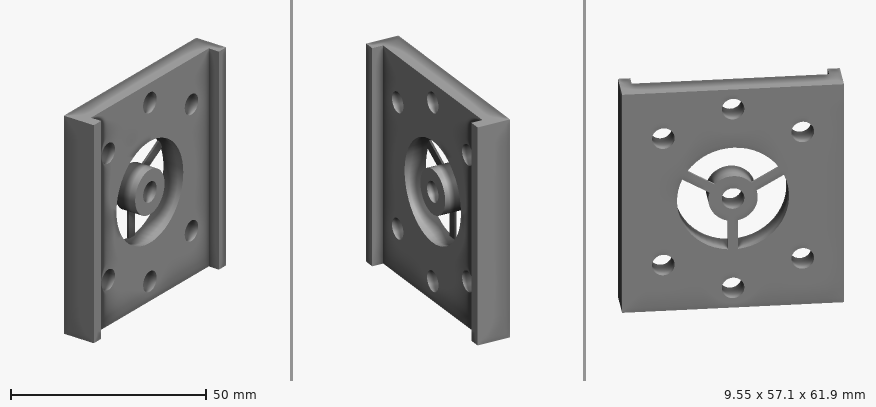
import cadquery as cq

total_depth = 9.55
width = 57.15
height = 61.9
plate_thickness = 6.3
rail_width = 3.15

window_diameter = 28.85
hub_diameter = 12.7
hole_diameter = 5.8
spoke_width = 2.6
spoke_thickness = 0.6
spoke_count = 3

hole_circle_radius = 25.4
hole_angles = (45, 90, 135, 225, 270, 315)

front_x = -total_depth / 2


def front_plane():
    """Sketch plane on the front face: local x is +Y, local y is +Z, normal is +X."""
    return cq.Workplane("YZ", origin=(front_x, 0, 0))


def make_channel():
    """Plate with a rail along each vertical edge of its back."""
    block = front_plane().rect(width, height).extrude(total_depth)
    recess = (
        front_plane()
        .workplane(offset=plate_thickness)
        .rect(width - 2 * rail_width, height)
        .extrude(total_depth - plate_thickness)
    )
    return block.cut(recess)


def make_spider():
    """Full-depth hub and thin front spokes, one pointing down; spoke ends lie inside the plate."""
    spider = front_plane().circle(hub_diameter / 2).extrude(plate_thickness)
    spoke_length = window_diameter / 2 + spoke_width / 2
    spoke = (
        front_plane()
        .center(0, -spoke_length / 2)
        .rect(spoke_width, spoke_length)
        .extrude(spoke_thickness)
    )
    for index in range(spoke_count):
        angle = index * 360 / spoke_count
        spider = spider.union(spoke.rotate((0, 0, 0), (1, 0, 0), angle))
    return spider


def make_holes():
    """Hub bore and mounting holes, all through the plate."""
    holes = front_plane().circle(hole_diameter / 2).extrude(plate_thickness)
    for angle in hole_angles:
        hole = (
            front_plane()
            .transformed(rotate=(0, 0, angle))
            .center(hole_circle_radius, 0)
            .circle(hole_diameter / 2)
            .extrude(plate_thickness)
        )
        holes = holes.union(hole)
    return holes


window = front_plane().circle(window_diameter / 2).extrude(plate_thickness)
result = make_channel().cut(window).union(make_spider()).cut(make_holes())